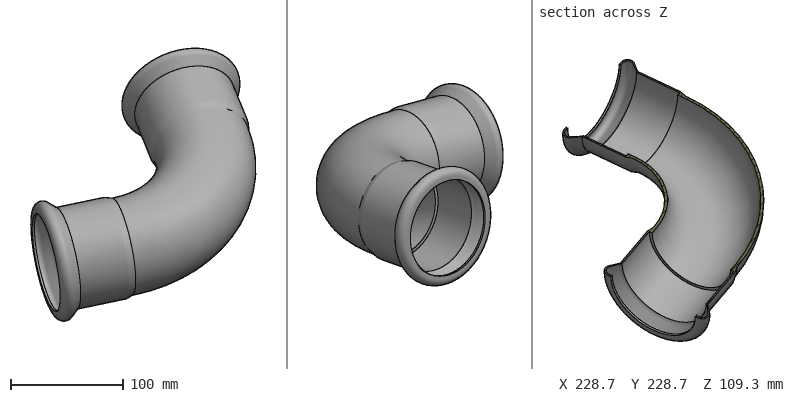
import cadquery as cq
import math

overall_length = 228.7
bead_diameter = 109.3
socket_diameter = 92.9
tube_diameter = 88.7
tube_bore = 82.5
socket_bore = 88.7
bead_round = 6.6
wall = 2.0

bead_end = 11.0
groove_cone_end = 16.5
bead_cone_end = 17.4
neck_end = 18.5
socket_end = 63.8
taper_end = 70.2
bend_start = 72.5

bead_radius = bead_diameter / 2
socket_radius = socket_diameter / 2
tube_radius = tube_diameter / 2
bore_radius = tube_bore / 2
socket_bore_radius = socket_bore / 2
bead_center_radius = bead_radius - bead_round
axis_offset = overall_length - bead_radius
bend_radius = axis_offset - bend_start
bead_end_angle = math.degrees(math.asin((bead_end - bead_round) / bead_round))
groove_neck_radius = socket_radius


def bead_point(angle, inset=0.0):
    """Axial distance and radius of a point on the bead round, measured from its outer crest."""
    reach = bead_round - inset
    return (
        bead_round + reach * math.sin(math.radians(angle)),
        bead_center_radius + reach * math.cos(math.radians(angle)),
    )


def make_socket():
    """Socket of revolution about X, with its open end at X = 0."""
    bead_end_radius = bead_point(bead_end_angle)[1]
    cone_drop = (bead_cone_end - bead_end) * math.tan(math.radians(bead_end_angle))
    profile = (
        cq.Workplane("XY")
        .moveTo(0, socket_bore_radius)
        .lineTo(*bead_point(-90))
        .threePointArc(bead_point(0), bead_point(bead_end_angle))
        .lineTo(bead_cone_end, bead_end_radius - cone_drop)
        .lineTo(neck_end, socket_radius)
        .lineTo(socket_end, socket_radius)
        .lineTo(taper_end, tube_radius)
        .lineTo(bend_start, tube_radius)
        .lineTo(bend_start, bore_radius)
        .lineTo(socket_end, bore_radius)
        .lineTo(socket_end, socket_bore_radius)
        .lineTo(neck_end, socket_bore_radius)
        .lineTo(groove_cone_end, groove_neck_radius)
        .lineTo(*bead_point(bead_end_angle, wall))
        .threePointArc(bead_point(0, wall), bead_point(-90, wall))
        .lineTo(wall, socket_bore_radius)
        .close()
    )
    return profile.revolve(360, (0, 0, 0), (1, 0, 0))


def make_bend():
    """Quarter bend of tube joining the two socket ends."""
    return (
        cq.Workplane("YZ", origin=(bend_start, 0, 0))
        .circle(tube_radius)
        .circle(bore_radius)
        .revolve(90, (-bend_radius, 0, 0), (-bend_radius, -1, 0))
    )


socket = make_socket()
bend = make_bend()
side_socket = socket.rotate((0, 0, 0), (0, 0, 1), 90).translate((axis_offset, -axis_offset, 0))
result = socket.union(bend).union(side_socket)